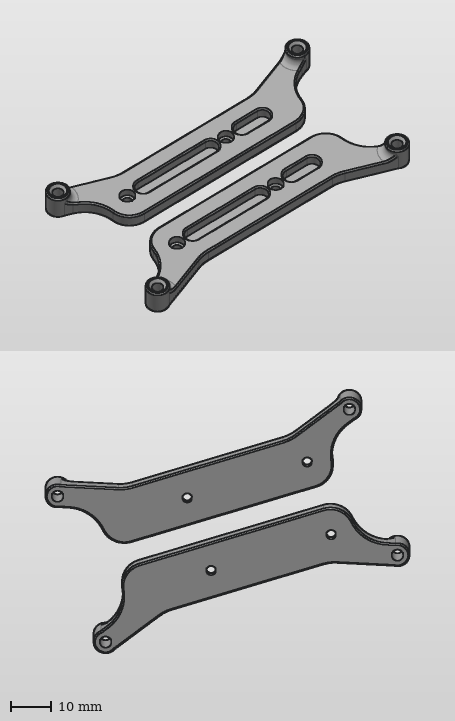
import cadquery as cq
import math

plate_thickness = 3.95
inner_edge_x = 3.0
outer_edge_x = 17.0
corner_radius = 6.0
corner_center_y = 24.15
edge_break = 0.4

boss_diameter = 6.1
boss_radius = boss_diameter / 2
boss_height = 7.0
boss_x = 20.0
boss_y = 38.15
boss_skew = 0.04
boss_hole_diameter = 2.9
boss_sink_diameter = 4.5
boss_sink_depth = 0.8

arm_half_width = boss_radius - 0.1
arm_angle = math.radians(20.5)
neck_radius = 10.0
foot_radius = 2.0

hole_row_x = 10.0
slot_width = 4.2
slot_break = 0.4
slot_floor_z = 1.0
slot_spans = [(10.3, 21.1), (-21.1, 4.6)]
screw_hole_ys = [7.4, -24.0]
screw_hole_diameter = 2.4
screw_head_diameter = 4.0
screw_seat_z = 1.8


def moved(point, direction, distance):
    return (point[0] + distance * direction[0], point[1] + distance * direction[1])


def on_circle(center, radius, angle):
    return (center[0] + radius * math.cos(angle), center[1] + radius * math.sin(angle))


def boss_place(side, end):
    """Center of a boss; side (-1 at -X, +1 at +X) and end (-1 at -Y, +1 at +Y) pick which one."""
    return (side * (boss_x - side * end * boss_skew), end * boss_y)


def inner_contour(boss, along, inward):
    """Plate's corner arc, neck arc and arm side that face the other bracket, up to the boss."""
    corner = (inner_edge_x + corner_radius, corner_center_y)
    center_distance = corner_radius + neck_radius

    line_start = moved(boss, inward, arm_half_width + neck_radius)
    gap = (corner[0] - line_start[0], corner[1] - line_start[1])
    run = gap[0] * along[0] + gap[1] * along[1]
    offset = gap[0] * inward[0] + gap[1] * inward[1]
    neck = moved(line_start, along, run - math.sqrt(center_distance**2 - offset**2))

    touch_angle = math.atan2(neck[1] - corner[1], neck[0] - corner[0])
    corner_mid_angle = (math.pi + touch_angle) / 2
    neck_mid_angle = (touch_angle - math.pi - arm_angle) / 2
    return [
        (inner_edge_x, corner_center_y),
        on_circle(corner, corner_radius, corner_mid_angle),
        on_circle(corner, corner_radius, touch_angle),
        on_circle(neck, neck_radius, neck_mid_angle),
        on_circle(neck, neck_radius, -arm_angle),
        moved(boss, inward, arm_half_width),
    ]


def outer_contour(boss, along, inward):
    """Arm side and bend that face away from the other bracket, from the boss to the plate."""
    arm_start = moved(boss, inward, -arm_half_width)
    arm_run = (arm_start[0] - outer_edge_x) / math.sin(arm_angle)
    vertex_y = arm_start[1] - arm_run * math.cos(arm_angle)
    tangent_length = neck_radius * math.tan(arm_angle / 2)
    bend = (outer_edge_x + neck_radius, vertex_y - tangent_length)
    return [
        arm_start,
        on_circle(bend, neck_radius, math.pi - arm_angle),
        on_circle(bend, neck_radius, math.pi - arm_angle / 2),
        on_circle(bend, neck_radius, math.pi),
    ]


def half_block(side, end, height):
    """Straight block from the middle of a bracket to the center of one boss."""
    center_x, center_y = boss_place(side, end)
    boss = (abs(center_x), abs(center_y))
    along = (-math.sin(arm_angle), -math.cos(arm_angle))
    inward = (-math.cos(arm_angle), math.sin(arm_angle))
    points = inner_contour(boss, along, inward) + outer_contour(boss, along, inward)
    p = [(side * x, end * y) for x, y in points]
    return (
        cq.Workplane("XY")
        .moveTo(side * inner_edge_x, 0)
        .lineTo(*p[0])
        .threePointArc(p[1], p[2])
        .threePointArc(p[3], p[4])
        .lineTo(*p[5])
        .lineTo(*p[6])
        .lineTo(*p[7])
        .threePointArc(p[8], p[9])
        .lineTo(side * outer_edge_x, 0)
        .close()
        .extrude(height)
    )


def bracket_block(side, height):
    """Plate and both arms as one straight block."""
    return half_block(side, 1, height).union(half_block(side, -1, height))


def boss_post():
    return cq.Workplane("XY").circle(boss_radius).extrude(boss_height)


def boss_foot():
    """Ring with a concave outer face that runs from the boss down onto the plate."""
    sag = foot_radius * (1 - math.sqrt(0.5))
    return (
        cq.Workplane("XZ")
        .moveTo(boss_radius, plate_thickness)
        .lineTo(boss_radius + foot_radius, plate_thickness)
        .threePointArc(
            (boss_radius + sag, plate_thickness + sag),
            (boss_radius, plate_thickness + foot_radius),
        )
        .close()
        .revolve(360, (0, 0, 0), (0, 1, 0))
    )


def boss_hole():
    """Through hole with a conical countersink at the top of a boss."""
    return (
        cq.Workplane("XZ")
        .lineTo(boss_hole_diameter / 2, 0)
        .lineTo(boss_hole_diameter / 2, boss_height - boss_sink_depth)
        .lineTo(boss_sink_diameter / 2, boss_height)
        .lineTo(0, boss_height)
        .close()
        .revolve(360, (0, 0, 0), (0, 1, 0))
    )


def at_boss(shape, side, end):
    """Carry a round shape to a boss, its seam turned to the free end of the arm."""
    return shape.rotate((0, 0, 0), (0, 0, 1), 90 * end).translate((*boss_place(side, end), 0))


def cut_slot(body, x, y_start, y_end):
    """Cut one blind slot and chamfer its rim."""
    middle_y = (y_start + y_end) / 2
    pocket = (
        cq.Workplane("XY", origin=(x, middle_y, slot_floor_z))
        .slot2D(y_end - y_start, slot_width, 90)
        .extrude(plate_thickness - slot_floor_z)
    )
    rim_point = (x + slot_width / 2, middle_y, plate_thickness)
    rim = cq.selectors.NearestToPointSelector(rim_point)
    return body.cut(pocket).edges(rim).chamfer(slot_break)


def screw_hole(x, y):
    """Counterbored through hole."""
    shank = cq.Workplane("XY", origin=(x, y, 0)).circle(screw_hole_diameter / 2).extrude(plate_thickness)
    head = (
        cq.Workplane("XY", origin=(x, y, screw_seat_z))
        .circle(screw_head_diameter / 2)
        .extrude(plate_thickness - screw_seat_z)
    )
    return shank.union(head)


def break_plate_edges(body, side):
    """Chamfer the plate's top rim; each chamfer follows the tangent edges up the boss feet."""
    for edge_x in (inner_edge_x, outer_edge_x):
        rim_point = (side * edge_x, 0, plate_thickness)
        body = body.edges(cq.selectors.NearestToPointSelector(rim_point)).chamfer(edge_break)
    return body


def bracket(side):
    """One bracket; side is -1 for the one at -X and +1 for the one at +X."""
    tall_block = bracket_block(side, boss_height)
    body = bracket_block(side, plate_thickness)
    for y_start, y_end in slot_spans:
        body = cut_slot(body, side * hole_row_x, y_start, y_end)
    for end in (1, -1):
        body = body.union(at_boss(boss_post(), side, end))
    for end in (1, -1):
        body = body.union(at_boss(boss_foot(), side, end).intersect(tall_block))
    body = body.faces("<Z").chamfer(edge_break)
    body = body.faces(">Z").chamfer(edge_break)
    body = break_plate_edges(body, side)

    for end in (1, -1):
        body = body.cut(at_boss(boss_hole(), side, end))
    for y in screw_hole_ys:
        body = body.cut(screw_hole(side * hole_row_x, y))
    return body.solids()


brackets = [bracket(side) for side in (-1, 1)]
result = cq.Compound.makeCompound([body.val() for body in brackets])